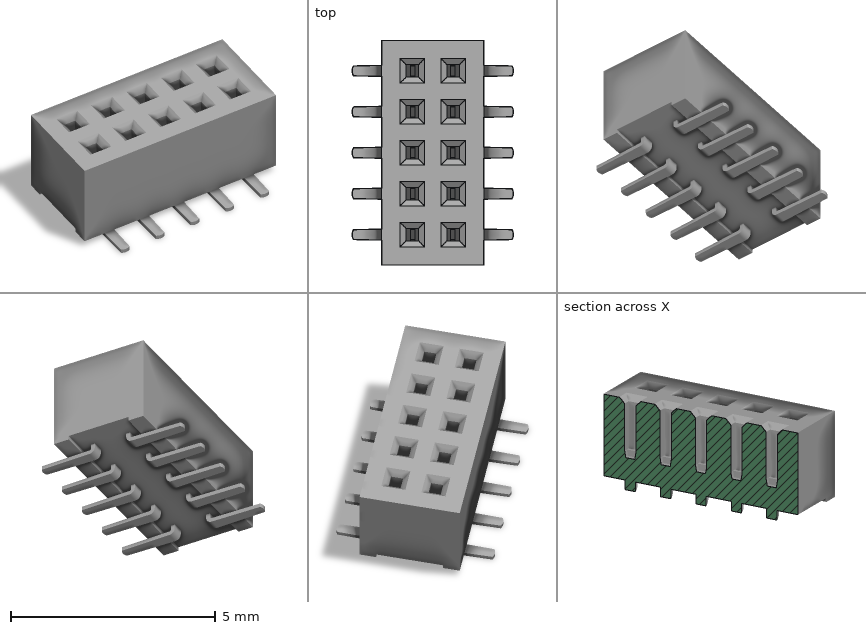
import cadquery as cq

length = 5.5
lead_span = 3.95
height = 2.4

housing_width = 2.5
standoff = 0.155
relief_width = 1.68
relief_depth = 0.105
relief_top = standoff + relief_depth

rows = 5
pitch = 1.0

socket_opening = 0.6
socket_bore = 0.3
funnel_depth = (socket_opening - socket_bore) / 2
socket_depth = 1.375
slot_depth = 0.165
slot_floor_length = 0.24

lead_thickness = 0.105
lead_width = 0.3
post_outer_x = 0.545
post_inner_x = post_outer_x - lead_thickness
tip_width = 0.25
tip_bulge = 0.04
bend_inner_radius = 0.05
bend_outer_radius = bend_inner_radius + lead_thickness
embed_depth = 0.11

column_x = pitch / 2
row_positions = [(row - (rows - 1) / 2) * pitch for row in range(rows)]


def make_housing():
    """Rectangular block with a shallow relief along its underside."""
    block = cq.Workplane("XY").workplane(offset=standoff).rect(housing_width, length)
    block = block.extrude(height - standoff)
    relief = cq.Workplane("XY").workplane(offset=standoff).rect(relief_width, length)
    return block.cut(relief.extrude(relief_depth))


def make_socket():
    """Cavity of the +X column at Y = 0: funnel, square bore and a slot in line with the lead post."""
    bore_floor = height - socket_depth
    funnel = (
        cq.Workplane("XY")
        .workplane(offset=height)
        .center(column_x, 0)
        .rect(socket_opening, socket_opening)
        .workplane(offset=-funnel_depth)
        .rect(socket_bore, socket_bore)
        .loft(ruled=True)
    )
    bore = cq.Workplane("XY").workplane(offset=bore_floor).center(column_x, 0)
    bore = bore.rect(socket_bore, socket_bore).extrude(socket_depth - funnel_depth)
    slot = (
        cq.Workplane("YZ")
        .workplane(offset=post_inner_x)
        .moveTo(-socket_bore / 2, bore_floor)
        .lineTo(socket_bore / 2, bore_floor)
        .lineTo(slot_floor_length / 2, bore_floor - slot_depth)
        .lineTo(-slot_floor_length / 2, bore_floor - slot_depth)
        .close()
        .extrude(lead_thickness)
    )
    return funnel.union(bore).union(slot)


def make_lead():
    """Lead of the +X column at Y = 0: a post bent outward into a tapered, round-ended foot."""
    bend_x = post_outer_x + bend_inner_radius
    post_top = relief_top + embed_depth

    post = (
        cq.Workplane("XZ")
        .moveTo(post_inner_x, post_top)
        .lineTo(post_inner_x, bend_outer_radius)
        .radiusArc((bend_x, 0), -bend_outer_radius)
        .lineTo(bend_x, lead_thickness)
        .radiusArc((post_outer_x, bend_outer_radius), bend_inner_radius)
        .lineTo(post_outer_x, post_top)
        .close()
        .extrude(lead_width / 2, both=True)
    )

    tip_x = lead_span / 2
    corner_x = tip_x - tip_bulge
    foot = (
        cq.Workplane("XY")
        .moveTo(bend_x, -lead_width / 2)
        .lineTo(corner_x, -tip_width / 2)
        .threePointArc((tip_x, 0), (corner_x, tip_width / 2))
        .lineTo(bend_x, lead_width / 2)
        .close()
        .extrude(lead_thickness)
    )
    return post.union(foot)


right_socket = make_socket()
right_lead = make_lead()
sockets = [right_socket, right_socket.mirror("YZ")]
leads = [right_lead, right_lead.mirror("YZ")]

result = make_housing()
for y in row_positions:
    for socket in sockets:
        result = result.cut(socket.translate((0, y, 0)))
    for lead in leads:
        result = result.union(lead.translate((0, y, 0)))